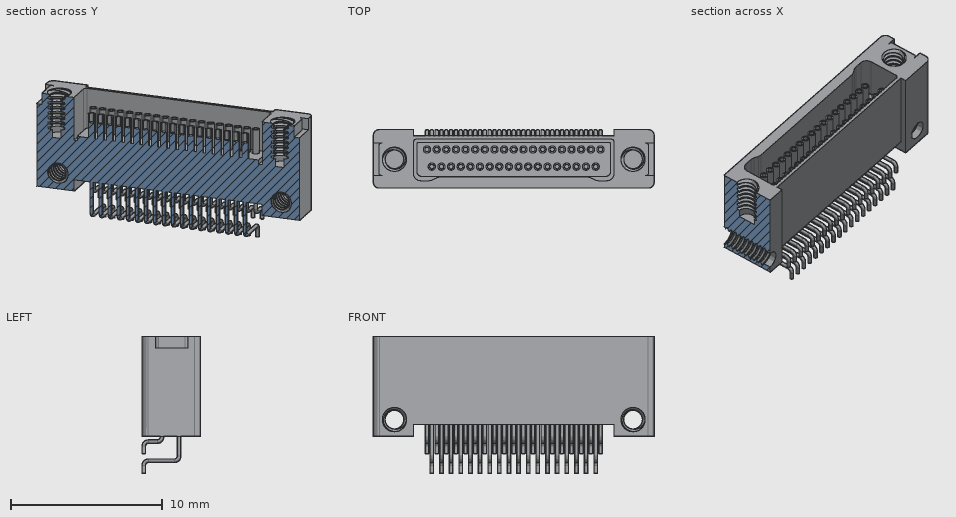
import cadquery as cq
import math


length = 18.52
depth = 3.87
height = 6.60
corner_radius = 0.40
half_length = length / 2
center_width = 13.20
foot_height = 0.78
rear_relief = 0.40

cavity_width = 13.22
cavity_front = 0.74
cavity_back = 3.23
cavity_depth = 3.00
cavity_back_radius = 0.20
lobe_front = 0.49
lobe_width = 1.66
lobe_slope_run = 0.52
lobe_radius = 0.48
lobe_blend_radius = 0.50
slope_margin = 0.01

insulator_width = 12.78
insulator_front = 0.775
insulator_back = 3.01
insulator_height = 0.30
insulator_front_radius = 0.34
insulator_back_radius = 0.12

pitch = 0.635
row_counts = {"front": 18, "rear": 19}
row_y = {"front": 1.42, "rear": 2.55}
socket_diameter = 0.48
socket_bore = 0.29
socket_bore_depth = 0.60
socket_recess = 1.03

tail_diameter = 0.25
tail_bend_radius = 0.30
tail_embed = 0.30
tail_y = depth - tail_diameter / 2
knee_z = {"front": -1.60, "rear": -0.34}
tip_z = {"front": -2.43, "rear": -1.17}
rear_tip_chamfer = 0.06

thread_x = 7.86
thread_pitch = 0.35
minor_diameter = 1.22
major_diameter = 1.60
groove_mouth = 0.28
groove_root = 0.06
groove_overlap = 0.04
tapped_block_size = 1.80
groove_start = 0.40
mount_thread_z = 1.11
jack_thread_depth = 3.00

insert_center_y = 1.905
insert_outer_x = 8.89
insert_radius = 0.20
step_width = 2.15
step_depth = 0.78


def box(x0, x1, y0, y1, z0, z1):
    return cq.Workplane("XY").box(x1 - x0, y1 - y0, z1 - z0, centered=False).translate((x0, y0, z0))


def make_shell():
    shell = box(-half_length, half_length, 0, depth, 0, height)
    shell = shell.edges("|Z").fillet(corner_radius)
    half = center_width / 2
    shell = shell.cut(box(-half, half, 0, depth, 0, foot_height))
    return shell.cut(box(-half, half, depth - rear_relief, depth, 0, height))


def make_cavity():
    half = cavity_width / 2
    root_x = half - lobe_width
    outline = [
        (-half, cavity_back),
        (-half, lobe_front),
        (-root_x - lobe_slope_run, lobe_front),
        (-root_x, cavity_front),
        (root_x, cavity_front),
        (root_x + lobe_slope_run, lobe_front),
        (half, lobe_front),
        (half, cavity_back),
    ]
    floor = cq.Workplane("XY").workplane(offset=height - cavity_depth)
    cavity = floor.polyline(outline).close().extrude(cavity_depth)
    cavity = cavity.edges("|Z and >Y").fillet(cavity_back_radius)
    cavity = cavity.edges("|Z").edges("<X or >X").edges("<Y").fillet(lobe_radius)
    outer_x = root_x + lobe_slope_run + slope_margin
    slopes = cq.selectors.BoxSelector(
        (-outer_x, lobe_front - slope_margin, 0),
        (outer_x, cavity_front + slope_margin, height),
    )
    return cavity.edges("|Z").edges(slopes).fillet(lobe_blend_radius)


def make_insulator():
    half = insulator_width / 2
    floor_z = height - cavity_depth
    block = box(-half, half, insulator_front, insulator_back, floor_z, floor_z + insulator_height)
    block = block.edges("|Z and <Y").fillet(insulator_front_radius)
    return block.edges("|Z and >Y").fillet(insulator_back_radius)


def make_end_step(side):
    """Cutter for the notch at one end, leaving the rounded face of the insert block."""
    y0 = insert_center_y - step_width / 2
    y1 = insert_center_y + step_width / 2
    z0 = height - step_depth
    step = box(insert_outer_x - insert_radius, half_length, y0, y1, z0, height)
    block = box(thread_x, insert_outer_x, y0, y1, z0, height)
    step = step.cut(block.edges("|Z and >X").fillet(insert_radius))
    return step if side > 0 else step.mirror("YZ")


def make_bore(bore_length):
    """Cutter for a plain hole along +Z from the origin, countersunk at its upper end."""
    bore = cq.Workplane("XY").circle(minor_diameter / 2).extrude(bore_length)
    sink_depth = (major_diameter - minor_diameter) / 2
    sink = cq.Solid.makeCone(minor_diameter / 2, major_diameter / 2, sink_depth)
    return bore.union(cq.Workplane(sink.translate(cq.Vector(0, 0, bore_length - sink_depth))))


def make_groove(bore_length):
    """Helical groove cutter around the Z axis, from near the bore's bottom out past its mouth."""
    inner = minor_diameter / 2 - groove_overlap
    outer = major_diameter / 2
    run = bore_length + thread_pitch - groove_start
    profile = [
        (inner, -groove_mouth / 2),
        (outer, -groove_root / 2),
        (outer, groove_root / 2),
        (inner, groove_mouth / 2),
    ]
    helices = []
    for radius, offset in profile:
        helix = cq.Wire.makeHelix(thread_pitch, run, radius)
        helices.append(helix.translate(cq.Vector(0, 0, groove_start + offset)))
    faces = []
    for helix, following in zip(helices, helices[1:] + helices[:1]):
        faces += cq.Face.makeRuledSurface(helix, following).Faces()
    for end in (0, 1):
        corners = [helix.positionAt(end) for helix in helices]
        faces.append(cq.Face.makeFromWires(cq.Wire.makePolygon(corners, close=True)))
    return cq.Workplane(cq.Solid.makeSolid(cq.Shell.makeShell(faces)))


def make_tapped_block(bore_length):
    """Square block standing on the origin with a tapped hole along +Z."""
    block = cq.Workplane("XY").rect(tapped_block_size, tapped_block_size).extrude(bore_length)
    return block.cut(make_bore(bore_length)).cut(make_groove(bore_length))


def set_block(body, block, bore_length, place):
    """Replace a square region of the body by the tapped block; place moves it to its spot."""
    blank = cq.Workplane("XY").rect(tapped_block_size, tapped_block_size).extrude(bore_length)
    return body.cut(place(blank)).union(place(block))


def place_jack_block(block, x):
    return block.translate((x, insert_center_y, height - jack_thread_depth))


def place_mount_block(block, x):
    """Lay the block along Y with its countersunk mouth on the front face."""
    return block.rotate((0, 0, 0), (1, 0, 0), 90).translate((x, depth, mount_thread_z))


def make_socket(x, row):
    """Tubular contact from the cavity floor up to its open mouth."""
    base_z = height - cavity_depth
    mouth_z = height - socket_recess
    tube = cq.Workplane("XY").circle(socket_diameter / 2).extrude(mouth_z - base_z)
    tube = tube.faces(">Z").workplane().circle(socket_bore / 2).cutBlind(-socket_bore_depth)
    return tube.translate((x, row_y[row], base_z))


def make_tail(x, row):
    """Round wire leaving the underside, bent toward the rear and then down to the board."""
    y = row_y[row]
    knee = knee_z[row]
    bend = tail_bend_radius
    chord = bend * math.sqrt(0.5)
    top_z = foot_height + tail_embed
    first_mid = (y + bend - chord, knee + bend - chord)
    second_mid = (tail_y - bend + chord, knee - bend + chord)
    path = (
        cq.Workplane("YZ")
        .moveTo(y, top_z)
        .lineTo(y, knee + bend)
        .threePointArc(first_mid, (y + bend, knee))
        .lineTo(tail_y - bend, knee)
        .threePointArc(second_mid, (tail_y, knee - bend))
        .lineTo(tail_y, tip_z[row])
    )
    wire = cq.Workplane("XY", origin=(0, y, top_z)).circle(tail_diameter / 2).sweep(path)
    if row == "rear":
        wire = wire.faces("<Z").chamfer(rear_tip_chamfer)
    return wire.translate((x, 0, 0))


def contact_positions(row):
    count = row_counts[row]
    return [(i - (count - 1) / 2) * pitch for i in range(count)]


part = make_shell().cut(make_cavity()).union(make_insulator())

jack_block = make_tapped_block(jack_thread_depth)
mount_block = make_tapped_block(depth)
for side in (-1, 1):
    part = part.cut(make_end_step(side))
    hole_x = side * thread_x
    part = set_block(part, jack_block, jack_thread_depth, lambda block: place_jack_block(block, hole_x))
    part = set_block(part, mount_block, depth, lambda block: place_mount_block(block, hole_x))

contacts = []
for row in row_counts:
    for x in contact_positions(row):
        contacts.append(make_socket(x, row).val())
        contacts.append(make_tail(x, row).val())
part = cq.Workplane(part.val().fuse(*contacts))

result = part